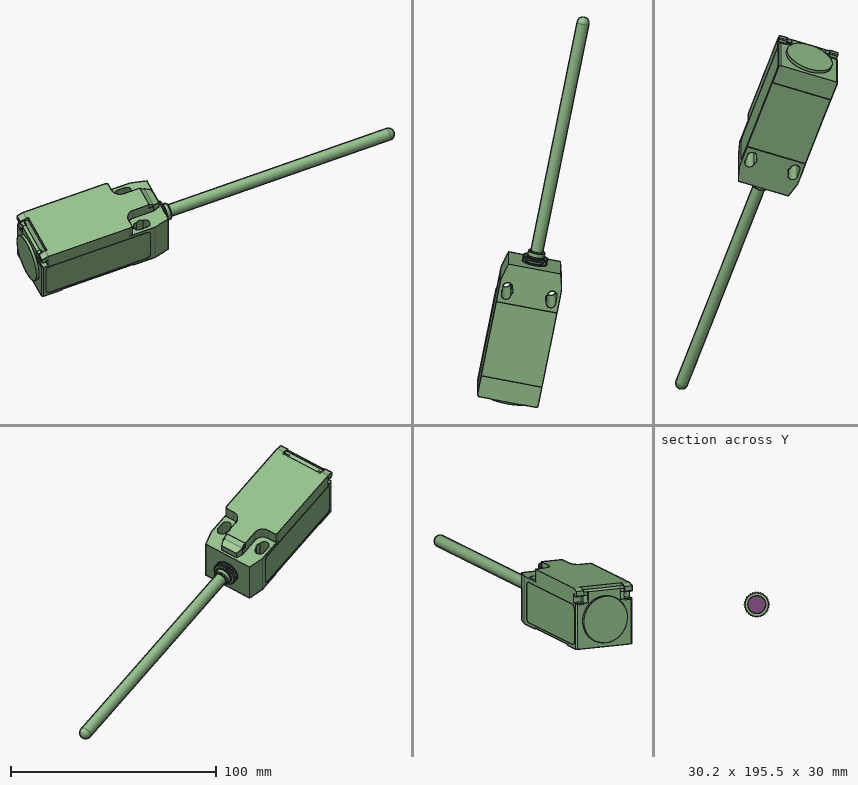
import cadquery as cq
import math


width = 30.0
half_width = width / 2
height = 30.0
front_y = -68.2
rear_chamfer_width = 2.1
rear_chamfer_length = 8.0
front_edge_chamfer = 0.7

relief_rear_y = -19.7
relief_front_y = -57.7
relief_depth = 0.5

panel_thickness = 0.1
panel_rear_y = -10.6
panel_front_y = -66.0
panel_bottom_z = 1.7
panel_top_z = 21.8
panel_corner_radius = 2.0

shoulder_z = 23.8
shoulder_front_y = -20.0
shoulder_corner_radius = 4.5
tongue_half_width = 5.6
tongue_tip_half_width = 4.4
tongue_tip_y = -1.3
tongue_tip_z = 27.1
tongue_taper_y = -4.7
tongue_bend_z = 28.5
tongue_slope_y = -7.0
tongue_nick_depth = 0.3
shoulder_chamfer_width = 0.3
shoulder_chamfer_length = 1.3

hole_x = 11.1
hole_y = -13.45
hole_length = 8.4
hole_width = 4.6
bulge_offset = 0.7

plug_diameter = 23.3
plug_length = 1.5
plug_z = 13.9

lid_slope_y = -64.9
lid_end_z = 29.0
lid_gap_half_width = 11.0
lid_gap_y = -63.9
ridge_base_z = 27.6
ridge_peak_y = -66.7
ridge_peak_z = 29.2
ridge_front_z = 28.3

pocket_y = -64.9
pocket_bottom_z = 22.8
pocket_top_z = 26.2
pocket_rear_top_z = 27.2
pocket_rise_rear_y = -65.7
pocket_rise_front_y = -66.3
pocket_lip_chamfer = 0.5
lug_inner_x = 8.5
lug_foot_y = -67.6
lug_brow_y = -66.9
lug_brow_z = 26.3
lug_top_y = -65.9
tab_inner_x = lid_gap_half_width

rod_z = 12.05
rod_diameter = 6.0
total_length = 195.5
rod_tip_y = total_length + front_y - plug_length
collar_diameter = 8.2
collar_end_y = 6.0
collar_chamfer = 0.5
neck_diameter = 8.8
neck_end_y = 3.6
washer_radius = 6.1
washer_root_radius = 5.6
washer_tooth_count = 30
washer_spans = [(0.0, 0.6), (1.9, 3.0)]


def box(x_min, x_max, y_min, y_max, z_min, z_max):
    """Box between the given limits."""
    size = (x_max - x_min, y_max - y_min, z_max - z_min)
    return cq.Workplane("XY").box(*size, centered=False).translate((x_min, y_min, z_min))


def side_profile(points, half_length):
    """Prism of a (Y, Z) outline, extruded to both sides of the middle plane."""
    return cq.Workplane("YZ").polyline(points).close().extrude(half_length, both=True)


def rearward_cylinder(diameter, start_y, end_y, z):
    """Cylinder along Y on the middle plane."""
    return (
        cq.Workplane("XZ", origin=(0, start_y, z))
        .circle(diameter / 2)
        .extrude(start_y - end_y)
    )


def both_sides(shape):
    """The shape and its mirror image across the middle plane."""
    return shape.union(shape.mirror("YZ"))


def block():
    """Block with tapered rear corners, chamfered front edges and a sloped lid end."""
    rear_half_width = half_width - rear_chamfer_width
    outline = [
        (half_width, front_y),
        (half_width, -rear_chamfer_length),
        (rear_half_width, 0),
        (-rear_half_width, 0),
        (-half_width, -rear_chamfer_length),
        (-half_width, front_y),
    ]
    body = cq.Workplane("XY").polyline(outline).close().extrude(height)

    corner = (
        cq.Workplane("XY")
        .polyline([
            (half_width, front_y),
            (half_width, front_y + front_edge_chamfer),
            (half_width - front_edge_chamfer, front_y),
        ])
        .close()
        .extrude(pocket_bottom_z)
    )
    lid_end = side_profile(
        [(lid_slope_y, height), (front_y, height), (front_y, lid_end_z)], width
    )
    relief = box(-half_width, half_width, relief_front_y, relief_rear_y, 0, relief_depth)
    return body.cut(both_sides(corner)).cut(lid_end).cut(relief)


def shoulder_cut():
    """Space above one shoulder: rounded inner corner, chamfered outer one, nick in the tongue."""
    space = box(tongue_half_width, half_width, shoulder_front_y, 0, shoulder_z, height)
    space = space.edges("|Z and <X and <Y").fillet(shoulder_corner_radius)
    taper = (
        cq.Workplane("XY", origin=(0, 0, shoulder_z))
        .polyline([
            (tongue_half_width, 0),
            (tongue_tip_half_width, 0),
            (tongue_tip_half_width, tongue_tip_y),
            (tongue_half_width, tongue_taper_y),
        ])
        .close()
        .extrude(height - shoulder_z)
    )
    outer_corner = (
        cq.Workplane("XY", origin=(0, 0, shoulder_z))
        .polyline([
            (half_width, shoulder_front_y),
            (half_width, shoulder_front_y - shoulder_chamfer_length),
            (half_width - shoulder_chamfer_width, shoulder_front_y),
        ])
        .close()
        .extrude(height - shoulder_z)
    )
    nick = box(
        tongue_half_width - tongue_nick_depth, tongue_half_width,
        tongue_slope_y, tongue_taper_y, tongue_tip_z, height,
    )
    return space.union(taper).union(outer_corner).union(nick)


def tongue_end_cut():
    """Space behind the tongue's tip and above its sloped end."""
    return side_profile(
        [
            (0, shoulder_z),
            (tongue_tip_y, shoulder_z),
            (tongue_tip_y, tongue_tip_z),
            (tongue_taper_y, tongue_bend_z),
            (tongue_slope_y, height),
            (0, height),
        ],
        tongue_half_width,
    )


def mounting_hole():
    """Through hole in one shoulder."""
    slot = (
        cq.Workplane("XY", origin=(hole_x, hole_y, 0))
        .slot2D(hole_length, hole_width, 90)
        .extrude(height)
    )
    bulge = (
        cq.Workplane("XY", origin=(hole_x - bulge_offset, hole_y, 0))
        .circle(hole_width / 2)
        .extrude(height)
    )
    return slot.union(bulge)


def lid_gap():
    """Gap in the lid's front end, leaving the ridge's two slopes as its floor."""
    return side_profile(
        [
            (lid_gap_y, height),
            (lid_gap_y, ridge_base_z),
            (ridge_peak_y, ridge_peak_z),
            (front_y, ridge_front_z),
            (front_y, height),
        ],
        lid_gap_half_width,
    )


def corner_pocket():
    """Pocket under one front corner of the lid, with a round-topped lug beside the ridge."""
    under_tab = (
        cq.Workplane("YZ", origin=(tab_inner_x, 0, 0))
        .polyline([
            (pocket_y, pocket_bottom_z),
            (pocket_y, pocket_rear_top_z),
            (pocket_rise_rear_y, pocket_rear_top_z),
            (pocket_rise_front_y, pocket_top_z),
            (front_y + pocket_lip_chamfer, pocket_top_z),
            (front_y, pocket_top_z + pocket_lip_chamfer),
            (front_y, pocket_bottom_z - pocket_lip_chamfer),
            (front_y + pocket_lip_chamfer, pocket_bottom_z),
        ])
        .close()
        .extrude(half_width - tab_inner_x)
    )
    lug_arc_middle = (
        lug_top_y + (lug_brow_y - lug_top_y) * math.cos(math.pi / 4),
        lug_brow_z + (ridge_front_z - lug_brow_z) * math.sin(math.pi / 4),
    )
    before_lug = (
        cq.Workplane("YZ", origin=(lug_inner_x, 0, 0))
        .moveTo(front_y, pocket_bottom_z)
        .lineTo(lug_foot_y, pocket_bottom_z)
        .lineTo(lug_brow_y, lug_brow_z)
        .threePointArc(lug_arc_middle, (lug_top_y, ridge_front_z))
        .lineTo(front_y, ridge_front_z)
        .close()
        .extrude(tab_inner_x - lug_inner_x)
    )
    return under_tab.union(before_lug)


def side_panel():
    """Raised label panel on the +X side."""
    panel = box(
        half_width, half_width + panel_thickness,
        panel_front_y, panel_rear_y, panel_bottom_z, panel_top_z,
    )
    return panel.edges("|X").fillet(panel_corner_radius)


def make_housing():
    """Housing with its lid, front plug and label panels."""
    body = block()
    body = body.cut(both_sides(shoulder_cut())).cut(tongue_end_cut())
    body = body.cut(lid_gap()).cut(both_sides(corner_pocket()))
    body = body.cut(both_sides(mounting_hole()))
    body = body.union(rearward_cylinder(plug_diameter, front_y - plug_length, front_y, plug_z))
    body = body.union(both_sides(side_panel()))
    return body


def toothed_washer(start_y, end_y):
    """Washer with a ring of pointed teeth."""
    points = []
    for step in range(2 * washer_tooth_count):
        radius = washer_radius if step % 2 == 0 else washer_root_radius
        angle = math.pi * step / washer_tooth_count
        points.append((radius * math.cos(angle), radius * math.sin(angle)))
    return (
        cq.Workplane("XZ", origin=(0, start_y, rod_z))
        .polyline(points)
        .close()
        .extrude(start_y - end_y)
    )


def make_lever():
    """Round-tipped rod with its collar, neck and toothed washers."""
    rod = rearward_cylinder(rod_diameter, 0, rod_tip_y - rod_diameter / 2, rod_z)
    tip = cq.Workplane("XY").sphere(rod_diameter / 2)
    tip = tip.translate((0, rod_tip_y - rod_diameter / 2, rod_z))
    collar = rearward_cylinder(collar_diameter, 0, collar_end_y, rod_z)
    collar = collar.faces(">Y").chamfer(collar_chamfer)
    lever = rod.union(tip).union(collar)
    lever = lever.union(rearward_cylinder(neck_diameter, 0, neck_end_y, rod_z))
    for start_y, end_y in washer_spans:
        lever = lever.union(toothed_washer(start_y, end_y))
    return lever


housing = make_housing()
lever = make_lever()
result = cq.Compound.makeCompound([housing.val(), lever.val()])